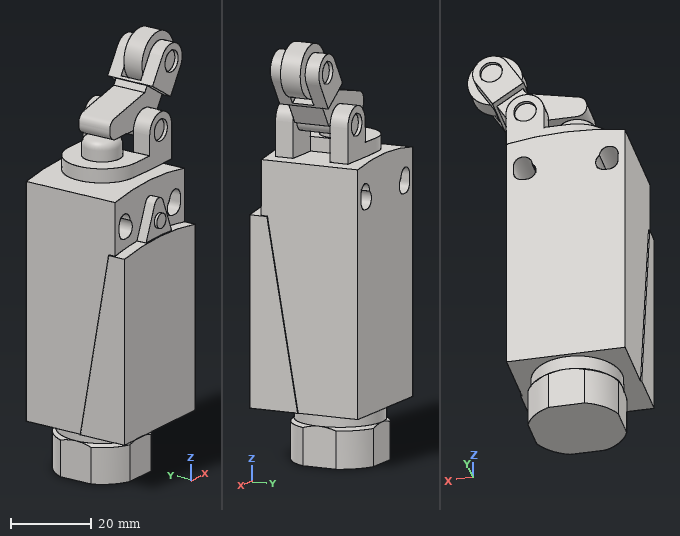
import cadquery as cq
import math


nut_half_flat = 11.5
nut_corner_radius = 12.4
nut_height = 10.6
nut_chamfer_height = 0.8

body_half_width = 15.2
body_bottom = 14.2
body_corner_z = 77.8
body_back_y = 12.5
body_front_y = -14.4
arch_rise = 1.4
cover_half_width = 15.5
cover_corner_z = 63.5
cover_front_y = -17.5
cover_edge_bottom_y = -4.1
cover_edge_top_y = -12.6

slot_width = 4.7
slot_x, slot_z = 11.0, 69.2
slot_rise = 1.9
slot_foot = 1.0

pad_half_base = 5.6
pad_base_z = 64.7
pad_tip_z = 75.0
pad_tip_radius = 2.0
pad_front_y = -17.2
button_z = 69.1
button_radius = 2.0
button_front_y = -17.9

plate_radius = 10.1
plate_bottom = 79.1
plate_top = 82.8
lug_radius = 4.8
lug_inner_y = 5.2
plunger_radius = 5.2
plunger_fillet = 2.4

pivot_x, pivot_z = 11.0, 88.2
roller_radius = 7.0
roller_x, roller_z = 20.5, 110 - roller_radius
roller_half_width = 2.7
pin_radius = 2.9
pin_recess = 1.0
lever_half_width = 4.7
lever_tip_radius = 2.5
lever_tip_x = -3.5
lever_tip_flat = 0.7
lever_slope = math.radians(12.3)
arm_half_height = 4.0
fork_radius = 4.7
fork_half_width = 6.8
fork_slot_half_width = 3.0
fork_base_distance = 8.0
fork_slot_distance = 7.3


def between(outline, y_start, y_end):
    """Extrude an XZ outline from y_start to y_end."""
    return outline.extrude(y_start - y_end).translate((0, y_start, 0))


def round_bar(x, z, radius, y_start, y_end):
    """Cylinder along Y."""
    return between(cq.Workplane("XZ").center(x, z).circle(radius), y_start, y_end)


def arched_block(half_width, corner_z, back_y, front_y):
    outline = (
        cq.Workplane("XZ")
        .moveTo(-half_width, body_bottom)
        .lineTo(half_width, body_bottom)
        .lineTo(half_width, corner_z)
        .threePointArc((0, corner_z + arch_rise), (-half_width, corner_z))
        .close()
    )
    return between(outline, back_y, front_y)


def gland():
    square = cq.Workplane("XY").rect(2 * nut_half_flat, 2 * nut_half_flat).extrude(nut_height)
    turned = (
        cq.Workplane("XZ")
        .lineTo(nut_corner_radius, 0)
        .lineTo(nut_corner_radius, nut_height - nut_chamfer_height)
        .lineTo(nut_half_flat, nut_height)
        .lineTo(0, nut_height)
        .close()
        .revolve(360, (0, 0, 0), (0, 1, 0))
    )
    collar = cq.Workplane("XY").circle(nut_half_flat).extrude(body_bottom)
    return square.intersect(turned).union(collar)


def cover():
    """Wedge-sided cover, slightly wider than the body."""
    block = arched_block(cover_half_width, cover_corner_z, cover_edge_bottom_y, cover_front_y)
    edge_run = (cover_edge_top_y - cover_edge_bottom_y) / (cover_corner_z - body_bottom)
    top_z = cover_corner_z + arch_rise
    wedge = (
        cq.Workplane("YZ")
        .moveTo(cover_edge_bottom_y, body_bottom)
        .lineTo(cover_front_y, body_bottom)
        .lineTo(cover_front_y, top_z)
        .lineTo(cover_edge_bottom_y + edge_run * (top_z - body_bottom), top_z)
        .close()
        .extrude(cover_half_width, both=True)
    )
    return block.intersect(wedge)


def mounting_holes():
    holes = cq.Workplane("XZ")
    for side in (-1, 1):
        foot_x = side * (slot_x - slot_foot / 2)
        leg = cq.Workplane("XZ").center(side * slot_x, slot_z + slot_rise / 2)
        foot = cq.Workplane("XZ").center(foot_x, slot_z)
        leg = leg.slot2D(slot_rise + slot_width, slot_width, 90)
        foot = foot.slot2D(slot_foot + slot_width, slot_width)
        holes = holes.union(between(leg, body_back_y, body_front_y))
        holes = holes.union(between(foot, body_back_y, body_front_y))
    return holes


def pad():
    tip_center_z = pad_tip_z - pad_tip_radius
    center_height = tip_center_z - pad_base_z
    corner_to_center = math.hypot(pad_half_base, center_height)
    side_angle = math.atan2(center_height, pad_half_base) + math.asin(pad_tip_radius / corner_to_center)
    tangent_x = pad_tip_radius * math.sin(side_angle)
    tangent_z = tip_center_z + pad_tip_radius * math.cos(side_angle)
    outline = (
        cq.Workplane("XZ")
        .moveTo(-pad_half_base, pad_base_z)
        .lineTo(-tangent_x, tangent_z)
        .threePointArc((0, pad_tip_z), (tangent_x, tangent_z))
        .lineTo(pad_half_base, pad_base_z)
        .close()
    )
    button = round_bar(0, button_z, button_radius, body_front_y, button_front_y)
    return between(outline, body_front_y, pad_front_y).union(button)


def head():
    plate_end_x = pivot_x + lug_radius
    plate = (
        cq.Workplane("XY")
        .workplane(offset=plate_bottom)
        .moveTo(plate_end_x, -plate_radius)
        .lineTo(0, -plate_radius)
        .threePointArc((-plate_radius, 0), (0, plate_radius))
        .lineTo(plate_end_x, plate_radius)
        .close()
        .extrude(plate_top - plate_bottom)
    )
    plunger = (
        cq.Workplane("XY")
        .workplane(offset=plate_bottom)
        .circle(plunger_radius)
        .extrude(pivot_z - plate_bottom)
        .faces(">Z")
        .edges()
        .fillet(plunger_fillet)
    )
    lugs = (
        cq.Workplane("XZ")
        .moveTo(pivot_x - lug_radius, plate_bottom)
        .lineTo(pivot_x - lug_radius, pivot_z)
        .threePointArc((pivot_x, pivot_z + lug_radius), (plate_end_x, pivot_z))
        .lineTo(plate_end_x, plate_bottom)
        .close()
        .extrude(plate_radius, both=True)
    )
    gap = (
        cq.Workplane("XY")
        .workplane(offset=plate_bottom)
        .center(pivot_x, 0)
        .rect(2 * lug_radius, 2 * lug_inner_y)
        .extrude(pivot_z + lug_radius - plate_bottom)
    )
    pin_hole = round_bar(pivot_x, pivot_z, pin_radius, plate_radius, -plate_radius)
    pin_end_y = plate_radius - pin_recess
    pin = round_bar(pivot_x, pivot_z, pin_radius, pin_end_y, -pin_end_y)
    return plate.union(lugs).cut(gap).cut(pin_hole).union(pin).union(plunger)


arm_angle = math.atan2(roller_z - pivot_z, roller_x - pivot_x)
arm_length = math.hypot(roller_z - pivot_z, roller_x - pivot_x)
fork_base_along = arm_length - fork_base_distance


def arm_point(along, across):
    return (
        pivot_x + along * math.cos(arm_angle) - across * math.sin(arm_angle),
        pivot_z + along * math.sin(arm_angle) + across * math.cos(arm_angle),
    )


def lever():
    tip_center_x = lever_tip_x + lever_tip_radius
    lower_center_z = pivot_z + lever_tip_radius
    upper_center_z = lower_center_z + lever_tip_flat
    top_start_x = tip_center_x - lever_tip_radius * math.sin(lever_slope)
    top_start_z = upper_center_z + lever_tip_radius * math.cos(lever_slope)
    top_dx = top_start_x - pivot_x
    top_dz = top_start_z - pivot_z
    top_along = top_dx * math.cos(arm_angle) + top_dz * math.sin(arm_angle)
    top_across = top_dz * math.cos(arm_angle) - top_dx * math.sin(arm_angle)
    kink_along = top_along + (top_across - arm_half_height) / math.tan(arm_angle - lever_slope)
    heel_x = pivot_x + arm_half_height / math.sin(arm_angle)
    return (
        cq.Workplane("XZ")
        .moveTo(heel_x, pivot_z)
        .lineTo(*arm_point(fork_base_along, -arm_half_height))
        .lineTo(*arm_point(fork_base_along, arm_half_height))
        .lineTo(*arm_point(kink_along, arm_half_height))
        .lineTo(top_start_x, top_start_z)
        .tangentArcPoint((lever_tip_x, upper_center_z), relative=False)
        .lineTo(lever_tip_x, lower_center_z)
        .tangentArcPoint((tip_center_x, pivot_z), relative=False)
        .close()
        .extrude(lever_half_width, both=True)
    )


def fork():
    outline = (
        cq.Workplane("XZ")
        .moveTo(*arm_point(fork_base_along, -fork_radius))
        .lineTo(*arm_point(arm_length, -fork_radius))
        .threePointArc(arm_point(arm_length + fork_radius, 0), arm_point(arm_length, fork_radius))
        .lineTo(*arm_point(fork_base_along, fork_radius))
        .close()
    )
    slot_start = arm_length - fork_slot_distance
    slot_end = arm_length + fork_radius
    slot = (
        cq.Workplane("XZ")
        .polyline([
            arm_point(slot_start, -fork_radius),
            arm_point(slot_end, -fork_radius),
            arm_point(slot_end, fork_radius),
            arm_point(slot_start, fork_radius),
        ])
        .close()
        .extrude(fork_slot_half_width, both=True)
    )
    pin_hole = round_bar(roller_x, roller_z, pin_radius, fork_half_width, -fork_half_width)
    return outline.extrude(fork_half_width, both=True).cut(slot).cut(pin_hole)


def roller():
    pin_end_y = fork_half_width - pin_recess
    pin = round_bar(roller_x, roller_z, pin_radius, pin_end_y, -pin_end_y)
    wheel = round_bar(roller_x, roller_z, roller_radius, roller_half_width, -roller_half_width)
    return wheel.union(pin)


body = arched_block(body_half_width, body_corner_z, body_back_y, body_front_y)
housing = body.cut(mounting_holes()).union(cover()).union(pad()).union(gland())
result = housing.union(head()).union(lever()).union(fork()).union(roller())